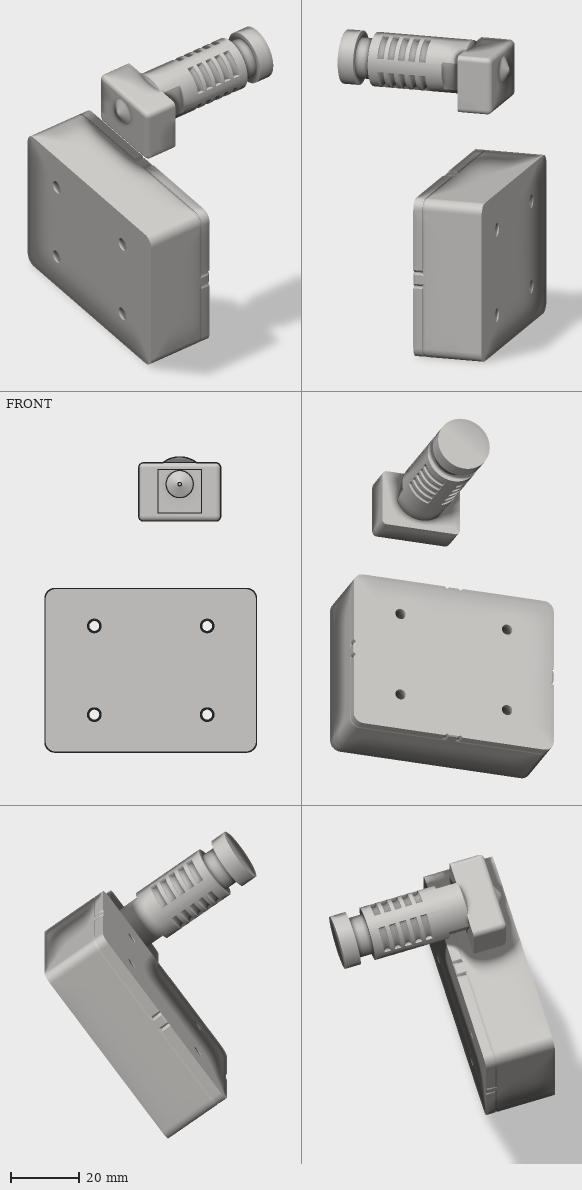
import cadquery as cq
import math

TOTAL_HEIGHT = 86.4

BOX_WIDTH = 62.0
BOX_HEIGHT = 48.0
BOX_DEPTH = 21.0
BOX_CORNER_RADIUS = 3.0
BOX_MID_Z = BOX_HEIGHT / 2
LID_THICKNESS = 2.85
GROOVE_WIDTH = 0.7
GROOVE_DEPTH = 0.22
LID_FRONT_Y = BOX_DEPTH - LID_THICKNESS
GROOVE_FRONT_Y = LID_FRONT_Y - GROOVE_WIDTH

TAB_WIDTH = 4.15
TAB_DEPTH = 2.0
TAB_SIDE_CHAMFER = 0.7
TAB_BACK_CHAMFER = 0.35

INSERT_SPACING_X = 33.0
INSERT_SPACING_Z = 25.9
INSERT_DIAMETER = 4.0
INSERT_BORE = 3.2
INSERT_LENGTH = 5.0

AXIS_X = 8.5
HEATSINK_DIAMETER = 16.0
HEATSINK_RADIUS = HEATSINK_DIAMETER / 2
AXIS_Z = TOTAL_HEIGHT - HEATSINK_RADIUS
SOCK_WIDTH = 24.0
SOCK_HEIGHT = 17.1
SOCK_DEPTH = 10.2
SOCK_FRONT_Y = 6.05
SOCK_BACK_Y = SOCK_FRONT_Y + SOCK_DEPTH
SOCK_BOTTOM_Z = 67.6
SOCK_FILLET = 1.5
HEATER_SIZE = 12.8
HEATER_BOTTOM_Z = 69.9

NOZZLE_DIAMETER = 7.95
NOZZLE_TIP_DIAMETER = 1.0
NOZZLE_HEIGHT = 1.8

HEATSINK_BACK_Y = 54.4
HEAD_LENGTH = 4.75
NECK_LENGTH = 4.5
NECK_DIAMETER = 12.0
SEAT_DEPTH = 0.4
END_CONE_LENGTH = 0.9
END_CONE_RADIAL = 2.0
NECK_BACK_Y = HEATSINK_BACK_Y - HEAD_LENGTH
NECK_FRONT_Y = NECK_BACK_Y - NECK_LENGTH
CONE_BACK_Y = SOCK_BACK_Y - SEAT_DEPTH
HEATSINK_FRONT_Y = CONE_BACK_Y - END_CONE_LENGTH

FIN_GROOVE_COUNT = 5
FIN_GROOVE_PITCH = 3.2
FIN_GROOVE_WIDTH = 2.0
FIN_GROOVE_SETBACK = 3.8
FIN_WEB_WIDTH = 4.0
FIN_WEB_TILT = -2.0
FLATS_WIDTH = 13.3
FLATS_BACK_Y = 22.5
HEATSINK_TILT = 13.0


def box_slice(front_y, length, taper=0):
    """Rounded rectangle of the box outline, extruded toward +Y."""
    outline = cq.Sketch().rect(BOX_WIDTH, BOX_HEIGHT).vertices().fillet(BOX_CORNER_RADIUS)
    return (
        cq.Workplane("XZ", origin=(0, front_y, BOX_MID_Z))
        .placeSketch(outline)
        .extrude(-length, taper=taper)
    )


def on_each_side(make_top_shape):
    """Shape made for the top of the box, repeated at the middle of all four sides."""
    shapes = []
    for turn, reach in ((0, BOX_HEIGHT), (90, BOX_WIDTH), (180, BOX_HEIGHT), (270, BOX_WIDTH)):
        shape = make_top_shape().translate((0, 0, reach / 2))
        shape = shape.rotate((0, 0, 0), (0, 1, 0), turn)
        shapes.append(shape.translate((0, 0, BOX_MID_Z)))
    return shapes


def side_prism(outer_half_width, front_y):
    """Prism up to the lid back whose flanks slope to the tab width just below the surface."""
    half_width = TAB_WIDTH / 2
    return (
        cq.Workplane("XZ", origin=(0, front_y, 0))
        .polyline([
            (-outer_half_width, 0),
            (outer_half_width, 0),
            (half_width, -TAB_SIDE_CHAMFER),
            (half_width, -TAB_DEPTH),
            (-half_width, -TAB_DEPTH),
            (-half_width, -TAB_SIDE_CHAMFER),
        ])
        .close()
        .extrude(front_y - BOX_DEPTH)
    )


def make_tab():
    tab = side_prism(TAB_WIDTH / 2 - TAB_SIDE_CHAMFER, GROOVE_FRONT_Y)
    return tab.faces(">Z").edges(">Y").chamfer(TAB_BACK_CHAMFER)


def make_notch():
    return side_prism(TAB_WIDTH / 2 + TAB_SIDE_CHAMFER, LID_FRONT_Y)


def insert_rods(diameter, front_y, length):
    """Four rods at the insert places, toward +Y."""
    return (
        cq.Workplane("XZ", origin=(0, front_y, BOX_MID_Z))
        .rarray(INSERT_SPACING_X, INSERT_SPACING_Z, 2, 2)
        .circle(diameter / 2)
        .extrude(-length)
    )


def make_base():
    groove_taper = math.degrees(math.atan2(GROOVE_DEPTH, GROOVE_WIDTH))
    base = box_slice(0, GROOVE_FRONT_Y).union(box_slice(GROOVE_FRONT_Y, GROOVE_WIDTH, groove_taper))
    for tab in on_each_side(make_tab):
        base = base.union(tab)
    return base.cut(insert_rods(INSERT_DIAMETER, 0, LID_FRONT_Y))


def make_lid():
    lid = box_slice(LID_FRONT_Y, LID_THICKNESS)
    for notch in on_each_side(make_notch):
        lid = lid.cut(notch)
    return lid.cut(insert_rods(INSERT_BORE, LID_FRONT_Y, LID_THICKNESS))


def make_insert(x, z):
    """Sleeve at the back of a base hole, against the lid."""
    return (
        cq.Workplane("XZ", origin=(x, LID_FRONT_Y, z))
        .circle(INSERT_DIAMETER / 2)
        .circle(INSERT_BORE / 2)
        .extrude(INSERT_LENGTH)
    )


def revolve_about_axis(outline):
    """Solid of revolution about the hot end axis from (y, radius) points."""
    return (
        cq.Workplane("YZ", origin=(AXIS_X, 0, AXIS_Z))
        .polyline(outline)
        .close()
        .revolve(360, (0, 0, 0), (1, 0, 0))
    )


def turn_about_axis(shape, angle):
    """Turn counterclockwise as seen from the nozzle end."""
    return shape.rotate((AXIS_X, 0, AXIS_Z), (AXIS_X, -1, AXIS_Z), angle)


def make_fin_groove(y):
    """Half-round ring groove, interrupted by four webs."""
    ring = (
        cq.Workplane("YZ", origin=(AXIS_X, 0, AXIS_Z))
        .center(y, HEATSINK_RADIUS)
        .transformed(rotate=(0, 0, -90))
        .circle(FIN_GROOVE_WIDTH / 2)
        .revolve(360, (HEATSINK_RADIUS, 0, 0), (HEATSINK_RADIUS, 1, 0))
    )
    web_length = 2 * HEATSINK_DIAMETER
    for width, height in ((web_length, FIN_WEB_WIDTH), (FIN_WEB_WIDTH, web_length)):
        web = cq.Workplane("XY").box(width, FIN_GROOVE_WIDTH * 2, height).translate((AXIS_X, y, AXIS_Z))
        ring = ring.cut(turn_about_axis(web, FIN_WEB_TILT))
    return ring


def make_heatsink():
    heatsink = revolve_about_axis([
        (HEATSINK_BACK_Y, 0),
        (HEATSINK_BACK_Y, HEATSINK_RADIUS),
        (NECK_BACK_Y, HEATSINK_RADIUS),
        (NECK_BACK_Y, NECK_DIAMETER / 2),
        (NECK_FRONT_Y, NECK_DIAMETER / 2),
        (NECK_FRONT_Y, HEATSINK_RADIUS),
        (CONE_BACK_Y, HEATSINK_RADIUS),
        (HEATSINK_FRONT_Y, HEATSINK_RADIUS - END_CONE_RADIAL),
        (HEATSINK_FRONT_Y, 0),
    ])
    flats_length = FLATS_BACK_Y - HEATSINK_FRONT_Y
    for side in (-1, 1):
        waste = cq.Workplane("XY").box(HEATSINK_DIAMETER, flats_length, HEATSINK_DIAMETER)
        offset = side * (FLATS_WIDTH + HEATSINK_DIAMETER) / 2
        heatsink = heatsink.cut(
            waste.translate((AXIS_X + offset, HEATSINK_FRONT_Y + flats_length / 2, AXIS_Z))
        )
    heatsink = turn_about_axis(heatsink, HEATSINK_TILT)
    for number in range(FIN_GROOVE_COUNT):
        y = NECK_FRONT_Y - FIN_GROOVE_SETBACK - number * FIN_GROOVE_PITCH
        heatsink = heatsink.cut(make_fin_groove(y))
    return heatsink


def make_heater_block():
    """Square block from the sock's front face to the end of the heatsink."""
    return (
        cq.Workplane("XZ", origin=(AXIS_X, SOCK_FRONT_Y, HEATER_BOTTOM_Z + HEATER_SIZE / 2))
        .rect(HEATER_SIZE, HEATER_SIZE)
        .extrude(SOCK_FRONT_Y - HEATSINK_FRONT_Y)
    )


def make_sock(heater_block, heatsink):
    sock = (
        cq.Workplane("XZ", origin=(AXIS_X, SOCK_FRONT_Y, SOCK_BOTTOM_Z + SOCK_HEIGHT / 2))
        .rect(SOCK_WIDTH, SOCK_HEIGHT)
        .extrude(-SOCK_DEPTH)
        .edges("|Y or <Y")
        .fillet(SOCK_FILLET)
    )
    return sock.cut(heater_block).cut(heatsink)


def make_nozzle():
    tip_y = SOCK_FRONT_Y - NOZZLE_HEIGHT
    return revolve_about_axis([
        (SOCK_FRONT_Y, 0),
        (SOCK_FRONT_Y, NOZZLE_DIAMETER / 2),
        (tip_y, NOZZLE_TIP_DIAMETER / 2),
        (tip_y, 0),
    ])


base = make_base()
lid = make_lid()
inserts = [
    make_insert(side_x * INSERT_SPACING_X / 2, BOX_MID_Z + side_z * INSERT_SPACING_Z / 2)
    for side_x in (-1, 1)
    for side_z in (-1, 1)
]
heatsink = make_heatsink()
heater_block = make_heater_block()
sock = make_sock(heater_block, heatsink)
nozzle = make_nozzle()

result = cq.Compound.makeCompound([
    base.val(),
    lid.val(),
    *[insert.val() for insert in inserts],
    heatsink.val(),
    heater_block.val(),
    sock.val(),
    nozzle.val(),
])